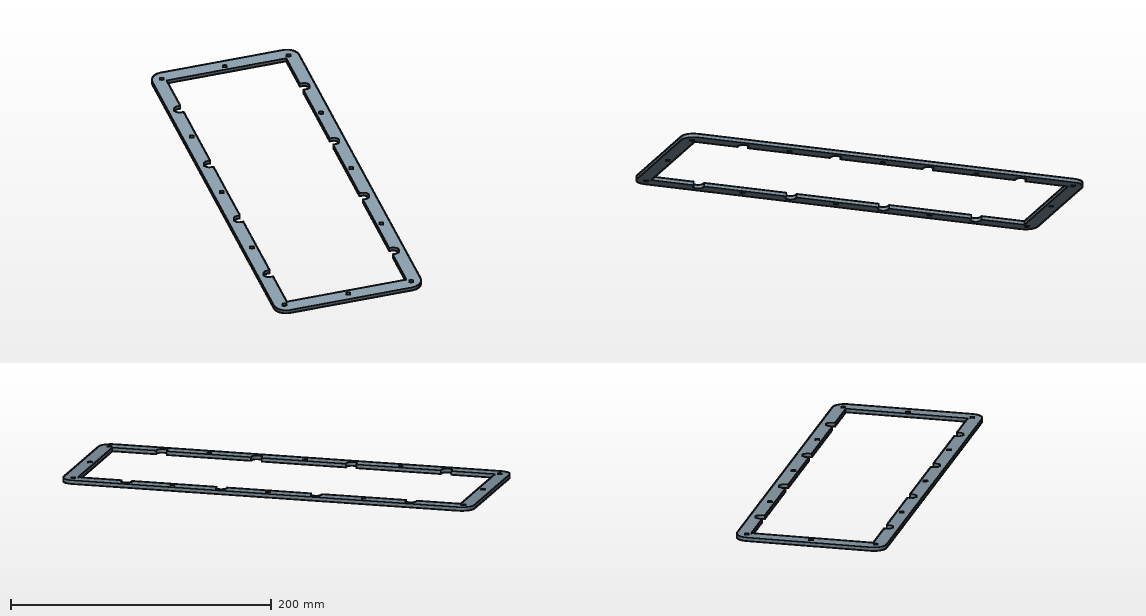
import cadquery as cq

LENGTH = 327.85
WIDTH = 118.3
THICKNESS = 3.0
CORNER_RADIUS = 10.0

WINDOW_LENGTH = 305.3
WINDOW_WIDTH = 96.3

NOTCH_WIDTH = 8.5
NOTCH_TIP_Y = 54.45
NOTCH_PITCH = 75.7
NOTCHES_PER_RAIL = 4

HOLE_DIAMETER = 3.3
RAIL_HOLE_PITCH = 76.5
RAIL_HOLES = 3
EDGE_HOLE_INSET = 7.0
CORNER_HOLE_INSET = 8.1
RAIL_HOLE_Y = WIDTH / 2 - EDGE_HOLE_INSET
SIDE_HOLE_X = LENGTH / 2 - EDGE_HOLE_INSET
CORNER_HOLE_X = LENGTH / 2 - CORNER_HOLE_INSET
CORNER_HOLE_Y = WIDTH / 2 - CORNER_HOLE_INSET


def centred_positions(count, pitch):
    """Evenly spaced positions, symmetric about zero."""
    return [(i - (count - 1) / 2) * pitch for i in range(count)]


def make_frame():
    """Rounded plate with a sharp-cornered window."""
    plate = cq.Workplane("XY").rect(LENGTH, WIDTH).extrude(THICKNESS)
    plate = plate.edges("|Z").fillet(CORNER_RADIUS)
    window = cq.Workplane("XY").rect(WINDOW_LENGTH, WINDOW_WIDTH).extrude(THICKNESS)
    return plate.cut(window)


def make_notches():
    """Slots spanning the window, whose round ends bite into both long rails."""
    centres = [(x, 0) for x in centred_positions(NOTCHES_PER_RAIL, NOTCH_PITCH)]
    return (
        cq.Workplane("XY")
        .pushPoints(centres)
        .slot2D(2 * NOTCH_TIP_Y, NOTCH_WIDTH, 90)
        .extrude(THICKNESS)
    )


def make_holes():
    """Through holes along the long rails, at the side centres and in the corners."""
    centres = [(side * SIDE_HOLE_X, 0) for side in (-1, 1)]
    for side in (-1, 1):
        for x in centred_positions(RAIL_HOLES, RAIL_HOLE_PITCH):
            centres.append((x, side * RAIL_HOLE_Y))
        for end in (-1, 1):
            centres.append((end * CORNER_HOLE_X, side * CORNER_HOLE_Y))
    return cq.Workplane("XY").pushPoints(centres).circle(HOLE_DIAMETER / 2).extrude(THICKNESS)


result = make_frame().cut(make_notches()).cut(make_holes())